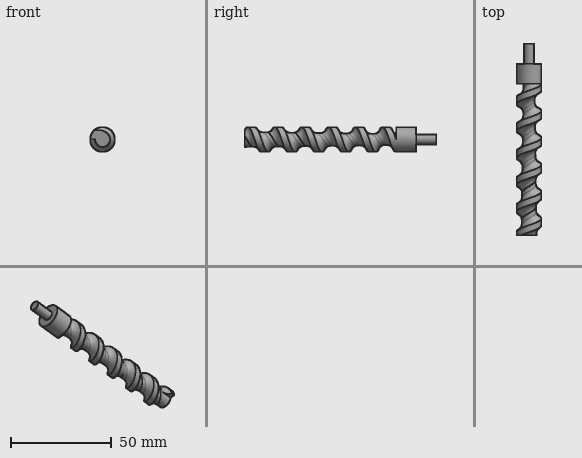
import cadquery as cq
import math

outer_diameter = 12.33
tip_core_diameter = 7.5
collar_core_diameter = 5.5
shank_diameter = 5.0

screw_length = 75.0
collar_length = 10.0
shank_length = 10.0

pitch = 40 / 3
crest_width = 3.45
root_radius = 4.3

crest_allowance = 0.3
root_overlap = 0.004
embed_depth = 1.0

outer_radius = outer_diameter / 2
tip_core_radius = tip_core_diameter / 2
collar_core_radius = collar_core_diameter / 2
turns = math.ceil(screw_length / pitch)
helix_height = turns * pitch
crest_top = outer_radius + crest_allowance
flank_reach = crest_width / 2 + root_radius

screw_frame = cq.Plane(origin=(0, 0, 0), xDir=(-1, 0, 0), normal=(0, 1, 0))


def rod(diameter, start, length):
    """Cylinder on the screw axis."""
    return cq.Workplane(screw_frame).workplane(offset=start).circle(diameter / 2).extrude(length)


def core_radius_at(distance):
    """Radius of the tapered core at a distance from the tip."""
    return tip_core_radius + (collar_core_radius - tip_core_radius) * distance / screw_length


def tapered_core():
    """Cone frustum that gets thinner from the tip to the collar."""
    return (
        cq.Workplane(screw_frame)
        .circle(tip_core_radius)
        .workplane(offset=screw_length)
        .circle(collar_core_radius)
        .loft(ruled=True)
    )


def flank_points(distance, side):
    """Crest end, arc middle, root end and foot of one flank, as (radius, distance from the tip).

    The side is +1 for the flank facing the collar and -1 for the flank facing the tip.
    """
    root = core_radius_at(distance + side * flank_reach) - root_overlap
    arc_centre = root + root_radius

    def axial_reach(radius):
        """Axial distance from the arc centre to the flank at a given radius."""
        return math.sqrt(root_radius**2 - (arc_centre - radius) ** 2)

    root_end = crest_width / 2 + axial_reach(outer_radius)
    middle = (root + outer_radius) / 2
    return [
        (crest_top, distance + side * (root_end - axial_reach(crest_top))),
        (middle, distance + side * (root_end - axial_reach(middle))),
        (root, distance + side * root_end),
        (root - embed_depth, distance + side * root_end),
    ]


def thread_profile(distance):
    """Axial section of the thread: straight crest, concave arc flanks, foot inside the core."""
    tip_crest, tip_middle, tip_root, tip_foot = flank_points(distance, -1)
    collar_crest, collar_middle, collar_root, collar_foot = flank_points(distance, 1)
    section = (
        cq.Workplane("XZ")
        .moveTo(*tip_foot)
        .lineTo(*tip_root)
        .threePointArc(tip_middle, tip_crest)
        .lineTo(*collar_crest)
        .threePointArc(collar_middle, collar_root)
        .lineTo(*collar_foot)
        .close()
    )
    return section.val()


def thread():
    """Helical thread, turned down to the outer diameter and cut to the length of the screw."""
    helix = cq.Wire.makeHelix(pitch, helix_height, outer_radius)
    profiles = [thread_profile(0), thread_profile(helix_height)]
    swept = cq.Solid.sweep_multi(profiles, helix, makeSolid=True, isFrenet=True)
    placed = cq.Workplane(swept.moved(cq.Location(screw_frame)))

    ring = rod(2 * outer_diameter, -pitch, helix_height + 2 * pitch)
    turned_off = ring.cut(rod(outer_diameter, -pitch, helix_height + 2 * pitch))
    block_width = 2 * outer_diameter
    kept_length = cq.Workplane(screw_frame).rect(block_width, block_width).extrude(screw_length)
    return placed.cut(turned_off).intersect(kept_length)


collar = rod(outer_diameter, screw_length, collar_length)
shank = rod(shank_diameter, screw_length + collar_length, shank_length)

result = tapered_core().union(thread()).union(collar).union(shank)